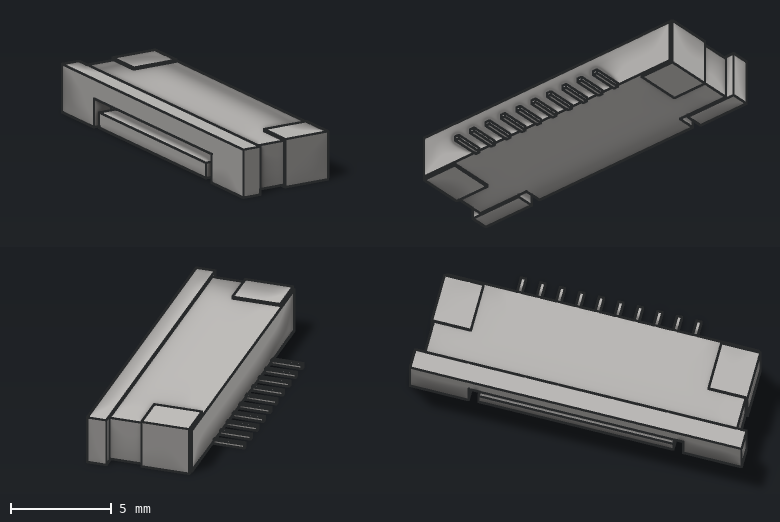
import cadquery as cq

frame_width = 17.0
frame_depth = 1.0
frame_height = 2.5

plate = 0.1
housing_width = 16.0
housing_back = 5.3

opening_width = 11.0
opening_top = 1.5
tongue_width = 10.0
tongue_top = 0.9
cavity_back = housing_back - frame_depth

clip_width = 2.0
clip_depth = 2.5
clip_back = housing_back - plate
clip_outer_x = housing_width / 2 + plate

pin_count = 10
pin_pitch = 1.0
pin_width = 0.25
pin_height = 0.2
pin_end = 6.9


def block(x_center, width, y_front, y_back, z_bottom, z_top):
    """Box centred at x_center and spanning the given Y and Z limits."""
    return cq.Workplane("XY").box(
        width, y_back - y_front, z_top - z_bottom, centered=(True, False, False)
    ).translate((x_center, y_front, z_bottom))


def make_frame():
    frame = block(0, frame_width, 0, frame_depth, 0, frame_height)
    notch = block(0, opening_width, 0, frame_depth, 0, opening_top)
    return frame.cut(notch)


def make_housing():
    housing = block(0, housing_width, frame_depth, housing_back, plate, frame_height - plate)
    cavity = block(0, opening_width, frame_depth, cavity_back, tongue_top, opening_top)
    return housing.cut(cavity)


def make_tongue():
    return block(0, tongue_width, 0, frame_depth, plate, tongue_top)


def make_clip(side):
    x_center = side * (clip_outer_x - clip_width / 2)
    return block(x_center, clip_width, clip_back - clip_depth, clip_back, 0, frame_height)


def make_pin(index):
    x_center = (index - (pin_count - 1) / 2) * pin_pitch
    return block(x_center, pin_width, housing_back, pin_end, 0, pin_height)


result = make_frame().union(make_housing()).union(make_tongue())
for side in (-1, 1):
    result = result.union(make_clip(side))
for index in range(pin_count):
    result = result.union(make_pin(index))